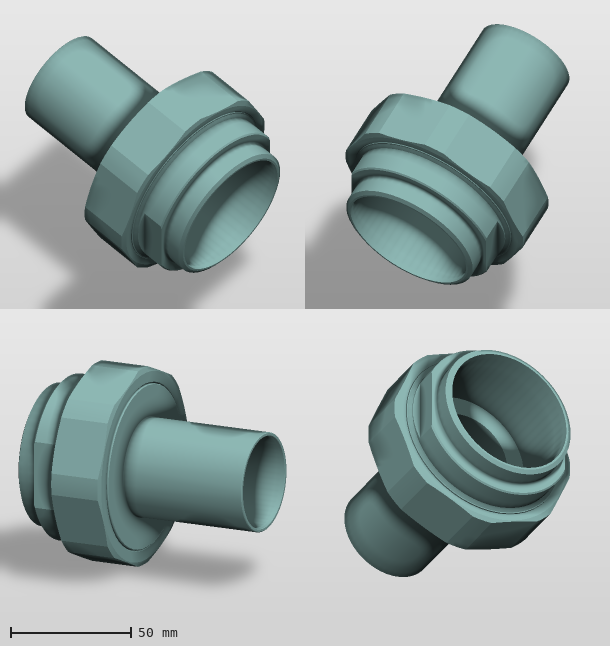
import cadquery as cq
import math

TAIL_FACE_X = 55.0
NUT_FRONT_X = 55.6
LIP_BACK_X = 59.0
SEAL_X = 65.0
NUT_BACK_X = 78.5
BODY_STEP_X = 78.8
SHOULDER_X = 91.1
LENGTH = 100.0

TUBE_D = 42.0
TUBE_BORE_D = 39.0
TUBE_CHAMFER = 0.3
BORE_CHAMFER = 0.2
NECK_D = 70.0
NECK_CHAMFER = 0.3
WELD_FILLET = 0.4

THREAD_D = 74.0
LIP_BORE_D = 70.5
LIP_CHAMFER = 0.4
NUT_CORNER_D = 84.7
NUT_ACROSS_FLATS = 81.3
NUT_SIDES = 8
NUT_FACE_D = 80.4
NUT_CHAMFER_LENGTH = 0.7
NUT_BACK_CHAMFER = 0.3

COLLAR_D = 70.0
COLLAR_CHAMFER = 0.6
STEP_CONE_LENGTH = 1.1
STEP_CONE_DEPTH = 1.5
SPIGOT_D = 60.3
SPIGOT_BORE_D = 55.1
SPIGOT_FILLET = 0.8
BEVEL_LENGTH = 1.0
BEVEL_DEPTH = BEVEL_LENGTH * math.tan(math.radians(60))
FLAT_HALF_WIDTH = 32.0
FLAT_START_X = 81.2
FLAT_WALL_RUN = 0.9
CUTTER_MARGIN = 5.0


def revolve_x(profile):
    """Turn an (axial position, radius) profile about the X axis."""
    return profile.close().revolve(360, (0, 0, 0), (1, 0, 0))


def make_tail():
    tube_r = TUBE_D / 2
    bore_r = TUBE_BORE_D / 2
    neck_r = NECK_D / 2
    profile = (
        cq.Workplane("XY")
        .moveTo(BORE_CHAMFER, bore_r)
        .lineTo(0, bore_r + BORE_CHAMFER)
        .lineTo(0, tube_r - TUBE_CHAMFER)
        .lineTo(TUBE_CHAMFER, tube_r)
        .lineTo(TAIL_FACE_X - WELD_FILLET, tube_r)
        .radiusArc((TAIL_FACE_X, tube_r + WELD_FILLET), -WELD_FILLET)
        .lineTo(TAIL_FACE_X, neck_r - NECK_CHAMFER)
        .lineTo(TAIL_FACE_X + NECK_CHAMFER, neck_r)
        .lineTo(LIP_BACK_X, neck_r)
        .lineTo(LIP_BACK_X, THREAD_D / 2)
        .lineTo(SEAL_X, THREAD_D / 2)
        .lineTo(SEAL_X, bore_r)
    )
    return revolve_x(profile)


def make_nut():
    lip_r = LIP_BORE_D / 2
    thread_r = THREAD_D / 2
    corner_r = NUT_CORNER_D / 2
    face_r = NUT_FACE_D / 2
    turned = revolve_x(
        cq.Workplane("XY")
        .moveTo(NUT_FRONT_X, lip_r + LIP_CHAMFER)
        .lineTo(NUT_FRONT_X, face_r)
        .lineTo(NUT_FRONT_X + NUT_CHAMFER_LENGTH, corner_r)
        .lineTo(NUT_BACK_X - NUT_CHAMFER_LENGTH, corner_r)
        .lineTo(NUT_BACK_X, face_r)
        .lineTo(NUT_BACK_X, thread_r + NUT_BACK_CHAMFER)
        .lineTo(NUT_BACK_X - NUT_BACK_CHAMFER, thread_r)
        .lineTo(LIP_BACK_X, thread_r)
        .lineTo(LIP_BACK_X, lip_r)
        .lineTo(NUT_FRONT_X + LIP_CHAMFER, lip_r)
    )
    octagon_d = NUT_ACROSS_FLATS / math.cos(math.pi / NUT_SIDES)
    octagon = (
        cq.Workplane("YZ", origin=(NUT_FRONT_X, 0, 0))
        .polygon(NUT_SIDES, octagon_d)
        .extrude(NUT_BACK_X - NUT_FRONT_X)
    )
    return turned.intersect(octagon)


def flat_cutter():
    """Prism that leaves the +Y wrench flat, with a leaning wall at its front end."""
    collar_r = COLLAR_D / 2
    top = collar_r + CUTTER_MARGIN
    lean = FLAT_WALL_RUN / (collar_r - FLAT_HALF_WIDTH)
    return (
        cq.Workplane("XY")
        .moveTo(FLAT_START_X, FLAT_HALF_WIDTH)
        .lineTo(FLAT_START_X - lean * (top - FLAT_HALF_WIDTH), top)
        .lineTo(SHOULDER_X, top)
        .lineTo(SHOULDER_X, FLAT_HALF_WIDTH)
        .close()
        .extrude(collar_r, both=True)
    )


def make_body():
    collar_r = COLLAR_D / 2
    spigot_r = SPIGOT_D / 2
    bore_r = SPIGOT_BORE_D / 2
    body = revolve_x(
        cq.Workplane("XY")
        .moveTo(SEAL_X, bore_r)
        .lineTo(SEAL_X, THREAD_D / 2)
        .lineTo(BODY_STEP_X, THREAD_D / 2)
        .lineTo(BODY_STEP_X, collar_r + STEP_CONE_DEPTH)
        .lineTo(BODY_STEP_X + STEP_CONE_LENGTH, collar_r)
        .lineTo(SHOULDER_X - COLLAR_CHAMFER, collar_r)
        .lineTo(SHOULDER_X, collar_r - COLLAR_CHAMFER)
        .lineTo(SHOULDER_X, spigot_r + SPIGOT_FILLET)
        .radiusArc((SHOULDER_X + SPIGOT_FILLET, spigot_r), -SPIGOT_FILLET)
        .lineTo(LENGTH - BEVEL_LENGTH, spigot_r)
        .lineTo(LENGTH, spigot_r - BEVEL_DEPTH)
        .lineTo(LENGTH, bore_r)
    )
    cutter = flat_cutter()
    for angle in (0, 180):
        body = body.cut(cutter.rotate((0, 0, 0), (1, 0, 0), angle))
    return body


tail = make_tail()
nut = make_nut()
body = make_body()

result = cq.Compound.makeCompound([tail.val(), nut.val(), body.val()])